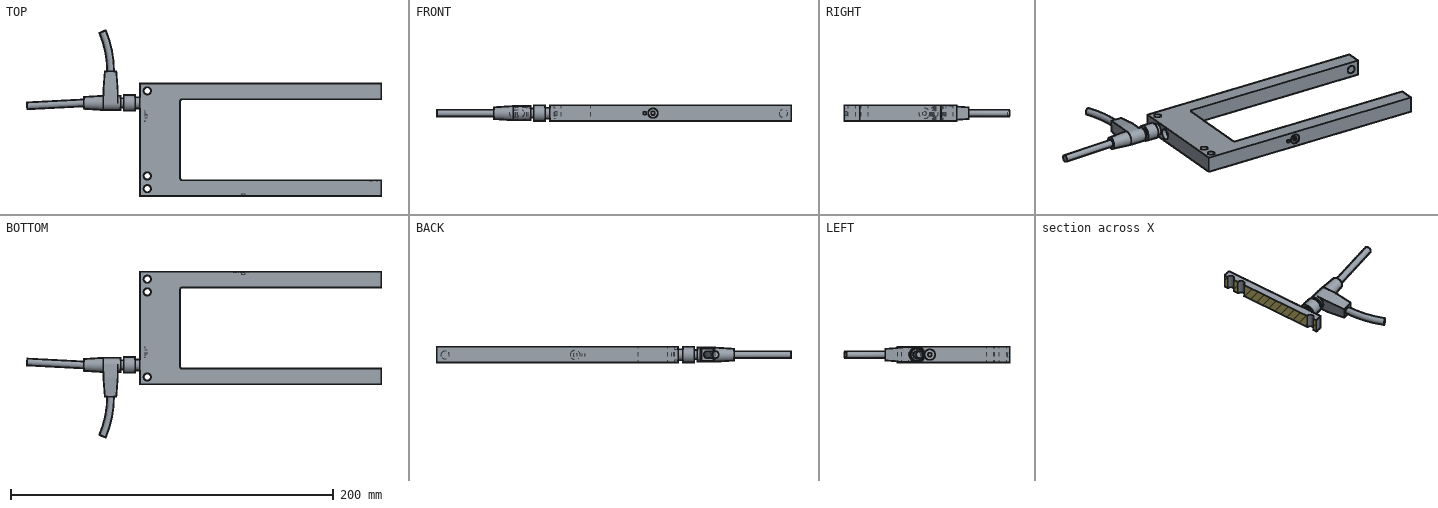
import cadquery as cq
import math

OVERALL_LENGTH = 220.2
FORK_LENGTH = 150.0
FORK_WIDTH = 70.0
FORK_THICKNESS = 10.0
BRIDGE_LENGTH = 25.0
ARM_WIDTH = 10.0
SLOT_CORNER_RADIUS = 1.0

MOUNT_HOLE_DIAMETER = 4.5
MOUNT_HOLE_INSET = 4.6
MOUNT_HOLE_PAIR_SPACING = 8.0

WINDOW_DIAMETER = 5.0
WINDOW_END_DISTANCE = 5.0
WINDOW_DEPTH = 0.2

ADJUSTER_BORE_DIAMETER = 2.5
ADJUSTER_BORE_DEPTH = 1.0
SIDE_RECESS_DIAMETER = 6.5
SIDE_RECESS_DEPTH = 3.0
SIDE_RECESS_Y = 49.8
FRONT_RECESS_DIAMETER = 6.0
FRONT_RECESS_DEPTH = 0.5
FRONT_RECESS_X = 64.0
LED_DIAMETER = 2.0
LED_DEPTH = 0.2
LED_X = 59.0

CONNECTOR_Y = 58.0
STUB_DIAMETER = 7.0
STUB_LENGTH = 2.9
NUT_DIAMETER = 10.0
NUT_LENGTH = 7.3
NECK_DIAMETER = 6.0
NECK_LENGTH = 1.8
NUT_X = -STUB_LENGTH - NUT_LENGTH
NECK_X = NUT_X - NECK_LENGTH

BARREL_DIAMETER = 9.0
BARREL_LENGTH = 10.8
BARREL_X = NECK_X - BARREL_LENGTH
GRIP_STRAIGHT_LENGTH = 8.0
GRIP_TAPER_LENGTH = 11.7
GRIP_BASE_SIZE = 9.0
GRIP_TIP_SIZE = 7.3
GRIP_X = BARREL_X + GRIP_BASE_SIZE / 2

SLEEVE_LENGTH = 12.1
SLEEVE_TIP_DIAMETER = 7.5
SLEEVE_TIP_X = BARREL_X - SLEEVE_LENGTH

CABLE_DIAMETER = 4.5
OUTER_LEFT_X = FORK_LENGTH - OVERALL_LENGTH
OUTER_TOP_Y = 103.0
ANGLED_CABLE_BEND = 23
STRAIGHT_CABLE_TILT = 3
STRAIGHT_CABLE_ROOT = 2.2


def cylinder_along_x(x_start, length, diameter):
    """Cylinder on the connector axis, from x_start towards +X."""
    plane = cq.Workplane("YZ", origin=(x_start, CONNECTOR_Y, 0))
    return plane.circle(diameter / 2).extrude(length)


def front_pocket(x, y, diameter, depth):
    """Round cutter that starts on a face looking towards -Y and goes in towards +Y."""
    return cq.Workplane("XZ", origin=(x, y, 0)).circle(diameter / 2).extrude(-depth)


def side_pocket(x, diameter, depth):
    """Round cutter at the side potentiometer that goes in towards +X."""
    return cq.Workplane("YZ", origin=(x, SIDE_RECESS_Y, 0)).circle(diameter / 2).extrude(depth)


def make_housing():
    body = cq.Workplane("XY").box(FORK_LENGTH, FORK_WIDTH, FORK_THICKNESS, centered=(False, False, True))
    slot = (
        cq.Workplane("XY")
        .box(FORK_LENGTH, FORK_WIDTH - 2 * ARM_WIDTH, FORK_THICKNESS, centered=(False, False, True))
        .edges("|Z and <X")
        .fillet(SLOT_CORNER_RADIUS)
        .translate((BRIDGE_LENGTH, ARM_WIDTH, 0))
    )
    body = body.cut(slot)

    hole_positions = [
        (MOUNT_HOLE_INSET, MOUNT_HOLE_INSET),
        (MOUNT_HOLE_INSET, MOUNT_HOLE_INSET + MOUNT_HOLE_PAIR_SPACING),
        (MOUNT_HOLE_INSET, FORK_WIDTH - MOUNT_HOLE_INSET),
    ]
    holes = (
        cq.Workplane("XY", origin=(0, 0, -FORK_THICKNESS / 2))
        .pushPoints(hole_positions)
        .circle(MOUNT_HOLE_DIAMETER / 2)
        .extrude(FORK_THICKNESS)
    )
    body = body.cut(holes)

    window_x = FORK_LENGTH - WINDOW_END_DISTANCE
    for window_y in (ARM_WIDTH - WINDOW_DEPTH, FORK_WIDTH - ARM_WIDTH):
        body = body.cut(front_pocket(window_x, window_y, WINDOW_DIAMETER, WINDOW_DEPTH))

    body = body.cut(side_pocket(0, SIDE_RECESS_DIAMETER, SIDE_RECESS_DEPTH))
    body = body.cut(side_pocket(SIDE_RECESS_DEPTH, ADJUSTER_BORE_DIAMETER, ADJUSTER_BORE_DEPTH))
    body = body.cut(front_pocket(FRONT_RECESS_X, 0, FRONT_RECESS_DIAMETER, FRONT_RECESS_DEPTH))
    body = body.cut(
        front_pocket(FRONT_RECESS_X, FRONT_RECESS_DEPTH, ADJUSTER_BORE_DIAMETER, ADJUSTER_BORE_DEPTH)
    )
    return body.cut(front_pocket(LED_X, 0, LED_DIAMETER, LED_DEPTH))


def make_connector():
    stub = cylinder_along_x(-STUB_LENGTH, STUB_LENGTH, STUB_DIAMETER)
    nut = cylinder_along_x(NUT_X, NUT_LENGTH, NUT_DIAMETER)
    neck = cylinder_along_x(NECK_X, NECK_LENGTH, NECK_DIAMETER)
    return stub.union(nut).union(neck)


def make_bent_cable(start_x, start_y, end_y, bend_degrees):
    """Cable that leaves its start along +Y and bends towards -X along an arc ending at end_y."""
    radius = (end_y - start_y) / math.sin(math.radians(bend_degrees))

    def arc_point(degrees):
        angle = math.radians(degrees)
        return (start_x - radius * (1 - math.cos(angle)), start_y + radius * math.sin(angle))

    path = (
        cq.Workplane("XY")
        .moveTo(start_x, start_y)
        .threePointArc(arc_point(bend_degrees / 2), arc_point(bend_degrees))
    )
    return cq.Workplane("XZ", origin=(start_x, start_y, 0)).circle(CABLE_DIAMETER / 2).sweep(path)


def make_angled_plug():
    barrel = cylinder_along_x(BARREL_X, BARREL_LENGTH, BARREL_DIAMETER)
    grip_plane = cq.Workplane("XZ", origin=(GRIP_X, CONNECTOR_Y, 0))
    grip_base = grip_plane.rect(GRIP_BASE_SIZE, GRIP_BASE_SIZE).extrude(-GRIP_STRAIGHT_LENGTH)
    taper_start_y = CONNECTOR_Y + GRIP_STRAIGHT_LENGTH
    grip_taper = (
        cq.Workplane("XZ", origin=(GRIP_X, taper_start_y, 0))
        .rect(GRIP_BASE_SIZE, GRIP_BASE_SIZE)
        .workplane(offset=-GRIP_TAPER_LENGTH)
        .rect(GRIP_TIP_SIZE, GRIP_TIP_SIZE)
        .loft()
    )
    cable_start_y = taper_start_y + GRIP_TAPER_LENGTH
    end_drop = CABLE_DIAMETER / 2 * math.sin(math.radians(ANGLED_CABLE_BEND))
    cable = make_bent_cable(GRIP_X, cable_start_y, OUTER_TOP_Y - end_drop, ANGLED_CABLE_BEND)
    return barrel.union(grip_base).union(grip_taper).union(cable)


def make_straight_plug():
    sleeve = (
        cq.Workplane("YZ", origin=(SLEEVE_TIP_X, CONNECTOR_Y, 0))
        .circle(SLEEVE_TIP_DIAMETER / 2)
        .workplane(offset=SLEEVE_LENGTH)
        .circle(BARREL_DIAMETER / 2)
        .loft()
    )
    tilt = math.radians(STRAIGHT_CABLE_TILT)
    end_x = OUTER_LEFT_X + CABLE_DIAMETER / 2 * math.sin(tilt)
    free_length = (SLEEVE_TIP_X - end_x) / math.cos(tilt)
    cable = cylinder_along_x(
        SLEEVE_TIP_X - free_length, free_length + STRAIGHT_CABLE_ROOT, CABLE_DIAMETER
    ).rotate(
        (SLEEVE_TIP_X, CONNECTOR_Y, 0), (SLEEVE_TIP_X, CONNECTOR_Y, 1), STRAIGHT_CABLE_TILT
    )
    return sleeve.union(cable)


housing = make_housing()
connector = make_connector()
angled_plug = make_angled_plug()
straight_plug = make_straight_plug()

result = cq.Compound.makeCompound(
    [housing.val(), connector.val(), angled_plug.val(), straight_plug.val()]
)